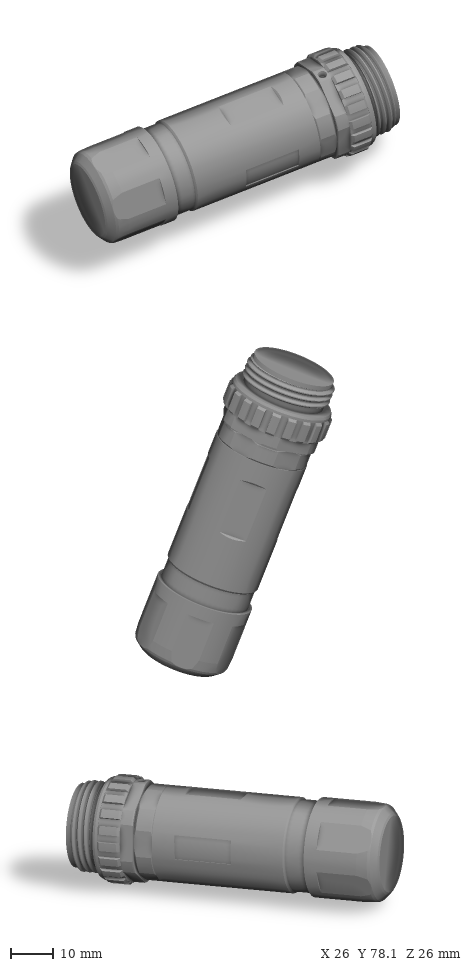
import cadquery as cq
import math

LENGTH = 78.05
OUTER_DIAMETER = 26.0

NOSE_RADIUS = 10.1
THREAD_RADIUS = 10.9
THREAD_PITCH = 1.6
THREAD_START = 1.1
THREAD_END = 6.0
THREAD_LEAD_IN_RADIUS = 10.2
THREAD_CREST_OFFSET = 1.0
THREAD_ROOT_RADIUS = 9.9
THREAD_ROOT_WIDTH = 1.5
THREAD_CREST_WIDTH = 0.2

RING_START = 7.3
RING_RADIUS = 12.4
RING_EDGE_LENGTH = 0.6
RING_EDGE_DEPTH = 0.3
GROOVE_RADIUS = 12.25
RIDGE_START = 8.6
RIDGE_END = 14.1
RIDGE_RADIUS = OUTER_DIAMETER / 2
RIDGE_CHAMFER = RIDGE_RADIUS - RING_RADIUS
RIDGE_COUNT = 20
RIDGE_WIDTH = 2.1
RIDGE_FIRST_ANGLE = 4.7

HEX_COUNT = 6
RING_HEX_END = 17.2
RING_HEX_ACROSS_FLATS = 22.95
RING_HEX_CORNER_RADIUS = 12.3
RING_HEX_CHAMFER_LENGTH = 0.3
RING_HEX_CHAMFER_DEPTH = 0.1
BODY_HEX_START = 17.4
BODY_HEX_ACROSS_FLATS = 22.0
BODY_HEX_CHAMFER = 0.4
HEX_NECK_RADIUS = 10.9

DIMPLE_RADIUS = 1.1
DIMPLE_FLOOR_RADIUS = 0.6
DIMPLE_DEPTH = 1.25
DIMPLE_POSITION = 15.5

BODY_START = 21.9
BODY_END = 55.1
BODY_RADIUS = 11.5
BODY_END_CHAMFER = 0.55
FLAT_START = 27.1
FLAT_END = 41.9
FLAT_DEPTH = 0.51
LABEL_START = 27.55
LABEL_END = 41.6
LABEL_WIDTH = 5.9
LABEL_DEPTH = 0.3

REAR_NECK_RADIUS = 11.0
CAP_START = 60.0
CAP_RADIUS = 11.95
CAP_TAPER_START = 73.1
CAP_TAPER_END = 75.7
CAP_NOSE_RADIUS = 11.7
CAP_CONE_START = 76.3
CAP_CONE_RADIUS = 11.4
CAP_CONE_END = 77.7
CAP_FACE_EDGE_RADIUS = 9.75
CAP_FACE_DIAMETER = 18.35
CAP_FLAT_START = 63.15
CAP_ACROSS_FLATS = 22.9
CAP_FLAT_COUNT = 6

OVERSIZE = OUTER_DIAMETER


def turned(outline):
    """Revolve (distance, radius) points, closed along the axis, into a solid."""
    points = [(radius, distance) for distance, radius in outline]
    points = [(0, outline[0][0])] + points + [(0, outline[-1][0])]
    return cq.Workplane("XZ").polyline(points).close().revolve(360, (0, 0, 0), (0, 1, 0))


def cylinder(start, end, radius):
    return turned([(start, radius), (end, radius)])


def block(start, end, inner, width):
    """A box from `inner` outward along +X, centred on the XZ plane."""
    return (
        cq.Workplane("XY", origin=(inner, 0, start))
        .rect(OVERSIZE, width)
        .extrude(end - start)
        .translate((OVERSIZE / 2, 0, 0))
    )


def around_axis(shape, angle):
    return shape.rotate((0, 0, 0), (0, 0, 1), angle)


def thread():
    """Helical ridge cut square at the ring end and by a 45 degree lead-in at the nose end."""
    start = THREAD_CREST_OFFSET - THREAD_PITCH
    turns = math.ceil((THREAD_END - start) / THREAD_PITCH) + 1
    helix = cq.Wire.makeHelix(THREAD_PITCH, turns * THREAD_PITCH, NOSE_RADIUS)
    ridge = (
        cq.Workplane("XZ")
        .moveTo(THREAD_ROOT_RADIUS, -THREAD_ROOT_WIDTH / 2)
        .lineTo(THREAD_RADIUS, -THREAD_CREST_WIDTH / 2)
        .lineTo(THREAD_RADIUS, THREAD_CREST_WIDTH / 2)
        .lineTo(THREAD_ROOT_RADIUS, THREAD_ROOT_WIDTH / 2)
        .close()
        .sweep(cq.Workplane(obj=helix), isFrenet=True)
        .translate((0, 0, start))
    )
    trim_depth = THREAD_END - THREAD_START
    trim = turned([
        (THREAD_START, THREAD_LEAD_IN_RADIUS),
        (THREAD_END, THREAD_LEAD_IN_RADIUS + trim_depth),
    ])
    return ridge.intersect(trim, clean=False)


def knurled_ring():
    ring = turned([
        (RING_START, RING_RADIUS - RING_EDGE_DEPTH),
        (RING_START + RING_EDGE_LENGTH, RING_RADIUS),
        (RIDGE_START, RING_RADIUS),
        (RIDGE_START, GROOVE_RADIUS),
        (RIDGE_END, GROOVE_RADIUS),
    ])
    ridge_band = turned([
        (RIDGE_START, RING_RADIUS),
        (RIDGE_START + RIDGE_CHAMFER, RIDGE_RADIUS),
        (RIDGE_END - RIDGE_CHAMFER, RIDGE_RADIUS),
        (RIDGE_END, RING_RADIUS),
    ])
    bar = block(RIDGE_START, RIDGE_END, NOSE_RADIUS, RIDGE_WIDTH)
    ridge = ridge_band.intersect(bar)
    for index in range(RIDGE_COUNT):
        ring = ring.union(around_axis(ridge, RIDGE_FIRST_ANGLE + index * 360 / RIDGE_COUNT))
    return ring


def hexagon(start, end, across_flats):
    """Hexagonal prism with flats facing +X and -X."""
    corner_diameter = across_flats / math.cos(math.pi / HEX_COUNT)
    prism = cq.Workplane("XY", origin=(0, 0, start)).polygon(HEX_COUNT, corner_diameter)
    return around_axis(prism.extrude(end - start), 180 / HEX_COUNT)


def ring_hexagon():
    rounding = turned([
        (RIDGE_END, RING_HEX_CORNER_RADIUS),
        (RING_HEX_END - RING_HEX_CHAMFER_LENGTH, RING_HEX_CORNER_RADIUS),
        (RING_HEX_END, RING_HEX_CORNER_RADIUS - RING_HEX_CHAMFER_DEPTH),
    ])
    mouth = cq.Vector(0, RING_HEX_CORNER_RADIUS, DIMPLE_POSITION)
    inward = cq.Vector(0, -1, 0)
    dimple = cq.Solid.makeCone(DIMPLE_RADIUS, DIMPLE_FLOOR_RADIUS, DIMPLE_DEPTH, mouth, inward)
    return hexagon(RIDGE_END, RING_HEX_END, RING_HEX_ACROSS_FLATS).intersect(rounding).cut(dimple)


def body_hexagon():
    rounding = turned([
        (BODY_HEX_START, BODY_RADIUS - BODY_HEX_CHAMFER),
        (BODY_HEX_START + BODY_HEX_CHAMFER, BODY_RADIUS),
        (BODY_START - BODY_HEX_CHAMFER, BODY_RADIUS),
        (BODY_START, BODY_RADIUS - BODY_HEX_CHAMFER),
    ])
    return hexagon(BODY_HEX_START, BODY_START, BODY_HEX_ACROSS_FLATS).intersect(rounding)


def grip_flat():
    """Cutter for a flat on the +Y side whose ends slope outward at 45 degrees."""
    floor = BODY_RADIUS - FLAT_DEPTH
    return (
        cq.Workplane("YZ", origin=(-OVERSIZE / 2, 0, 0))
        .moveTo(floor, FLAT_START + FLAT_DEPTH)
        .lineTo(BODY_RADIUS, FLAT_START)
        .lineTo(BODY_RADIUS, FLAT_END)
        .lineTo(floor, FLAT_END - FLAT_DEPTH)
        .close()
        .extrude(OVERSIZE)
    )


def label_recess():
    """Cutter for a shallow rectangular recess on the +X side with a cylindrical floor."""
    window = block(LABEL_START, LABEL_END, 0, LABEL_WIDTH)
    return window.cut(cylinder(LABEL_START, LABEL_END, BODY_RADIUS - LABEL_DEPTH))


def body():
    tube = turned([
        (BODY_START, BODY_RADIUS),
        (BODY_END - BODY_END_CHAMFER, BODY_RADIUS),
        (BODY_END, BODY_RADIUS - BODY_END_CHAMFER),
    ])
    for side in (0, 180):
        tube = tube.cut(around_axis(grip_flat(), side))
        tube = tube.cut(around_axis(label_recess(), side))
    return tube


def cap():
    shell = turned([
        (CAP_START, CAP_RADIUS),
        (CAP_TAPER_START, CAP_RADIUS),
        (CAP_TAPER_END, CAP_NOSE_RADIUS),
        (CAP_CONE_START, CAP_CONE_RADIUS),
        (CAP_CONE_END, CAP_FACE_EDGE_RADIUS),
        (LENGTH, CAP_FACE_DIAMETER / 2),
    ])
    flat = block(CAP_FLAT_START, LENGTH, CAP_ACROSS_FLATS / 2, OVERSIZE)
    for index in range(CAP_FLAT_COUNT):
        shell = shell.cut(around_axis(flat, 90 + index * 360 / CAP_FLAT_COUNT))
    return shell


plug = (
    cylinder(0, RING_START, NOSE_RADIUS)
    .union(thread(), clean=False)
    .union(knurled_ring())
    .union(ring_hexagon())
    .union(cylinder(RING_HEX_END, BODY_HEX_START, HEX_NECK_RADIUS))
    .union(body_hexagon())
    .union(body())
    .union(cylinder(BODY_END, CAP_START, REAR_NECK_RADIUS))
    .union(cap())
)

result = plug.rotate((0, 0, 0), (1, 0, 0), 90).translate((0, LENGTH / 2, 0))